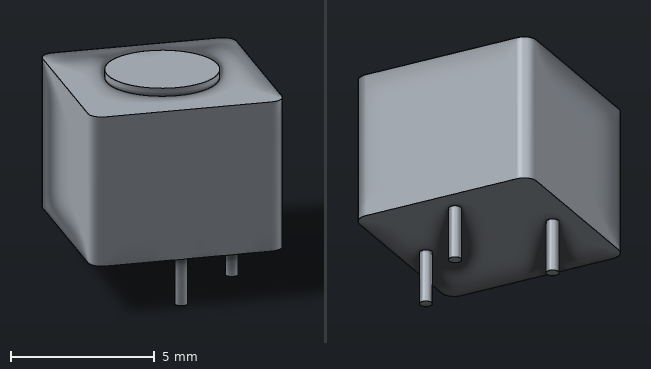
import cadquery as cq

total_height = 7.8
body_width = 7.0
corner_radius = 0.5
button_diameter = 4.0
button_height = 0.3
pin_diameter = 0.45
pin_length = 2.0
pin_pitch = 2.5

body_height = total_height - button_height - pin_length

pin_positions = [(-pin_pitch, 0), (0, pin_pitch), (pin_pitch, 0)]

body = (
    cq.Workplane("XY")
    .rect(body_width, body_width)
    .extrude(body_height)
    .edges("|Z")
    .fillet(corner_radius)
)

button = (
    cq.Workplane("XY")
    .workplane(offset=body_height)
    .circle(button_diameter / 2)
    .extrude(button_height)
)

pins = (
    cq.Workplane("XY")
    .pushPoints(pin_positions)
    .circle(pin_diameter / 2)
    .extrude(-pin_length)
)

result = body.union(button).union(pins)